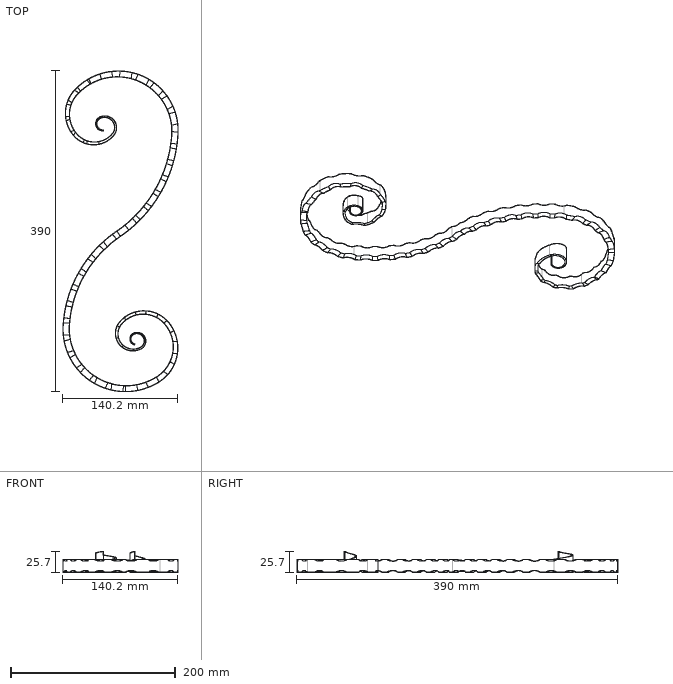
import cadquery as cq
import math

START = (-2.7, -3.0)
START_HEADING = 34.3
UPPER_ARCS = [(158.5, 52), (69.5, 141), (38.5, 86), (30.0, 97), (13.3, 154), (8.0, 159)]
LOWER_ARCS = [(145.5, 52), (72.5, 127), (45.5, 98), (36.5, 98), (20.0, 159), (9.8, 175), (7.0, 142)]

BAR_HEIGHT = 16.0
BAR_THICKNESS = 7.8
TIP_THICKNESS = 1.0
TAPER_START = 253.5

UPPER_EYE_START = 423.5
LOWER_EYE_START = 501.5
EYE_TIP_HEIGHT = 25.7
EYE_SECTIONS = 15

SCALLOP_WIDTH = 14.5
SCALLOP_DEPTH = 2.5
SCALLOP_RADIUS = ((SCALLOP_WIDTH / 2) ** 2 + SCALLOP_DEPTH ** 2) / (2 * SCALLOP_DEPTH)
CUTTER_LENGTH = 11.7
UPPER_SCALLOPS = [(18.5, 20.3, 7), (163.5, 21.0, 5), (271.5, 14.0, 2), (302.0, 18.7, 6)]
LOWER_SCALLOPS = [(-7.8, 20.5, 13), (257.5, 27.0, 9)]


def arc_length(arc):
    radius, sweep = arc
    return radius * math.radians(sweep)


def point_on_limb(arcs, heading, distance):
    """Centreline point and direction angle in radians at a distance along the limb."""
    x, y = START
    angle = math.radians(heading)
    remaining = distance
    for index, arc in enumerate(arcs):
        radius = arc[0]
        length = arc_length(arc)
        is_last = index == len(arcs) - 1
        step = remaining if is_last else min(remaining, length)
        turned = angle + step / radius
        x += radius * (math.sin(turned) - math.sin(angle))
        y -= radius * (math.cos(turned) - math.cos(angle))
        angle = turned
        remaining -= step
        if remaining <= 0:
            break
    return x, y, angle


def thickness_at(arcs, distance):
    total = sum(arc_length(arc) for arc in arcs)
    taper = max(0, distance - TAPER_START) / (total - TAPER_START)
    return BAR_THICKNESS + (TIP_THICKNESS - BAR_THICKNESS) * taper


def edge_point(arcs, heading, distance, side):
    """Point on the bar's left (side = 1) or right (side = -1) face."""
    x, y, angle = point_on_limb(arcs, heading, distance)
    offset = side * thickness_at(arcs, distance) / 2
    return x - offset * math.sin(angle), y + offset * math.cos(angle)


def make_bar(arcs, heading, eye_start):
    """Level part of a limb, from the start up to the eye."""
    ends = [0]
    for arc in arcs:
        ends.append(min(ends[-1] + arc_length(arc), eye_start))
        if ends[-1] == eye_start:
            break
    spans = list(zip(ends, ends[1:]))

    outline = cq.Workplane("XY").moveTo(*edge_point(arcs, heading, 0, -1))
    for near, far in spans:
        middle = edge_point(arcs, heading, (near + far) / 2, -1)
        outline = outline.threePointArc(middle, edge_point(arcs, heading, far, -1))
    outline = outline.lineTo(*edge_point(arcs, heading, ends[-1], 1))
    for near, far in reversed(spans):
        middle = edge_point(arcs, heading, (near + far) / 2, 1)
        outline = outline.threePointArc(middle, edge_point(arcs, heading, near, 1))
    return outline.close().extrude(BAR_HEIGHT)


def make_eye(arcs, heading, eye_start):
    """Tightly curled end, lofted through upright sections of growing height."""
    eye_length = sum(arc_length(arc) for arc in arcs) - eye_start
    sections = []
    for index in range(EYE_SECTIONS):
        fraction = index / (EYE_SECTIONS - 1)
        distance = eye_start + fraction * eye_length
        top = BAR_HEIGHT + fraction * (EYE_TIP_HEIGHT - BAR_HEIGHT)
        right = edge_point(arcs, heading, distance, -1)
        left = edge_point(arcs, heading, distance, 1)
        corners = [(*right, 0), (*left, 0), (*left, top), (*right, top)]
        sections.append(cq.Wire.makePolygon([cq.Vector(*c) for c in corners], close=True))
    return cq.Workplane(cq.Solid.makeLoft(sections))


def scallop_cutters(arcs, heading, runs):
    """Cylinders lying across the bar, dipping into its top and bottom edges."""
    reach = SCALLOP_RADIUS - SCALLOP_DEPTH
    cutters = []
    for first, pitch, count in runs:
        for index in range(count):
            x, y, angle = point_on_limb(arcs, heading, first + index * pitch)
            across = cq.Vector(-math.sin(angle), math.cos(angle), 0)
            for z in (-reach, BAR_HEIGHT + reach):
                base = cq.Vector(x, y, z) - across * (CUTTER_LENGTH / 2)
                cutters.append(cq.Solid.makeCylinder(SCALLOP_RADIUS, CUTTER_LENGTH, base, across))
    return cutters


LIMBS = [
    (UPPER_ARCS, START_HEADING, UPPER_EYE_START, UPPER_SCALLOPS),
    (LOWER_ARCS, START_HEADING + 180, LOWER_EYE_START, LOWER_SCALLOPS),
]

bars = []
eyes = []
marks = []
for limb_arcs, limb_heading, limb_eye_start, limb_scallops in LIMBS:
    bars.append(make_bar(limb_arcs, limb_heading, limb_eye_start))
    eyes.append(make_eye(limb_arcs, limb_heading, limb_eye_start))
    marks += scallop_cutters(limb_arcs, limb_heading, limb_scallops)

upper_bar, lower_bar = bars
scroll = cq.Workplane(upper_bar.union(lower_bar).val().cut(*marks))
for eye in eyes:
    scroll = scroll.union(eye)

result = scroll